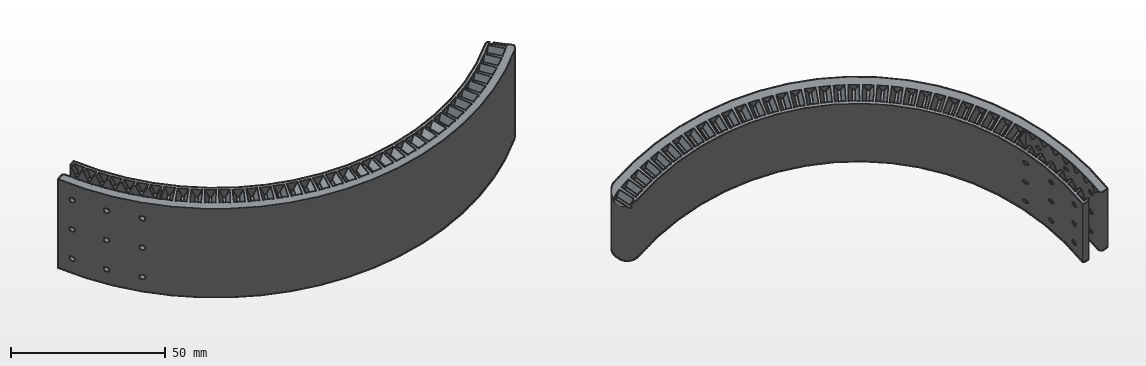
import cadquery as cq
import math

height = 40.0
outer_radius = 99.9
thickness = 10.0
inner_radius = outer_radius - thickness
mid_radius = outer_radius - thickness / 2
start_angle = -100
end_angle = 9.1
bottom_chamfer = 0.5

end_corner_radius = 4.6
end_top_radius = 4.0

outer_wall = 3.0
slot_outer_radius = outer_radius - outer_wall
slot_width = 4.0
slot_inner_radius = slot_outer_radius - slot_width
slot_span = 20
slot_mouth_radius = 1.0

inner_wall = 1.0
groove_inner_radius = inner_radius + inner_wall
groove_length = slot_outer_radius - groove_inner_radius
groove_width = 3.6
groove_bottom_width = 0.9
groove_depth = 3.5
groove_count = 39
groove_pitch = 2.8
first_groove_offset = 1.7
first_groove_angle = start_angle + first_groove_offset

hole_diameter = 2.0
hole_angles = (-97, -90, -83)
hole_rows = 3
hole_spacing = 13.0

through_margin = 1.2
through_start_radius = inner_radius - through_margin
through_length = thickness + 2 * through_margin


def polar(radius, angle):
    """Point in the XY plane at a radius and an angle in degrees."""
    return (
        radius * math.cos(math.radians(angle)),
        radius * math.sin(math.radians(angle)),
    )


def sector(radius_in, radius_out, angle_from, angle_to):
    """Full-height ring sector between two radii and two angles."""
    middle = (angle_from + angle_to) / 2
    return (
        cq.Workplane("XY")
        .moveTo(*polar(radius_in, angle_from))
        .lineTo(*polar(radius_out, angle_from))
        .threePointArc(polar(radius_out, middle), polar(radius_out, angle_to))
        .lineTo(*polar(radius_in, angle_to))
        .threePointArc(polar(radius_in, middle), polar(radius_in, angle_from))
        .close()
        .extrude(height)
    )


def radial_plane(radius, angle, z):
    """Plane facing outwards at a radius, with its x axis along the band and its y axis up."""
    along = polar(1, angle + 90)
    outwards = polar(1, angle)
    return cq.Plane(
        origin=(*polar(radius, angle), z),
        xDir=(*along, 0),
        normal=(*outwards, 0),
    )


def band():
    """Band with a rounded free end and a chamfered bottom edge."""
    body = sector(inner_radius, outer_radius, start_angle, end_angle)
    end_face = cq.selectors.NearestToPointSelector((*polar(mid_radius, end_angle), height / 2))
    body = body.faces(end_face).edges("|Z").fillet(end_corner_radius)

    start_edge = cq.selectors.NearestToPointSelector((*polar(mid_radius, start_angle), 0))
    body = body.faces("<Z").edges(cq.selectors.InverseSelector(start_edge)).chamfer(bottom_chamfer)
    return body.cut(end_top_rounding())


def end_top_rounding():
    """Cutter that rounds the top edge of the free end."""
    diagonal = end_top_radius * (1 - math.sqrt(0.5))
    return (
        cq.Workplane(radial_plane(through_start_radius, end_angle, height))
        .moveTo(-end_top_radius, 0)
        .threePointArc((-diagonal, -diagonal), (0, -end_top_radius))
        .lineTo(end_top_radius, -end_top_radius)
        .lineTo(end_top_radius, end_top_radius)
        .lineTo(-end_top_radius, end_top_radius)
        .close()
        .extrude(through_length)
    )


def clamping_slot(body):
    """Cut the slot from the start of the band and round the two corners at its mouth."""
    body = body.cut(sector(slot_inner_radius, slot_outer_radius, start_angle, start_angle + slot_span))
    for radius in (slot_inner_radius, slot_outer_radius):
        corner = cq.selectors.NearestToPointSelector((*polar(radius, start_angle), height / 2))
        body = body.edges("|Z").edges(corner).fillet(slot_mouth_radius)
    return body


def groove(angle):
    """Radial V-groove cutter with a rounded bottom, hanging from the top face."""
    half_width = groove_width / 2
    half_bottom = groove_bottom_width / 2
    side_depth = groove_depth - half_bottom
    return (
        cq.Workplane(radial_plane(groove_inner_radius, angle, height))
        .moveTo(-half_width, 0)
        .lineTo(half_width, 0)
        .lineTo(half_bottom, -side_depth)
        .threePointArc((0, -groove_depth), (-half_bottom, -side_depth))
        .close()
        .extrude(groove_length)
    )


def hole_column(angle):
    """Cutter for a column of radial holes through both walls."""
    return (
        cq.Workplane(radial_plane(through_start_radius, angle, height / 2))
        .rarray(1.2, hole_spacing, 1, hole_rows)
        .circle(hole_diameter / 2)
        .extrude(through_length)
    )


groove_angles = [first_groove_angle + index * groove_pitch for index in range(groove_count)]
grooves = cq.Compound.makeCompound([groove(angle).val() for angle in groove_angles])

result = clamping_slot(band())
result = result.cut(cq.Workplane(grooves))
for angle in hole_angles:
    result = result.cut(hole_column(angle))